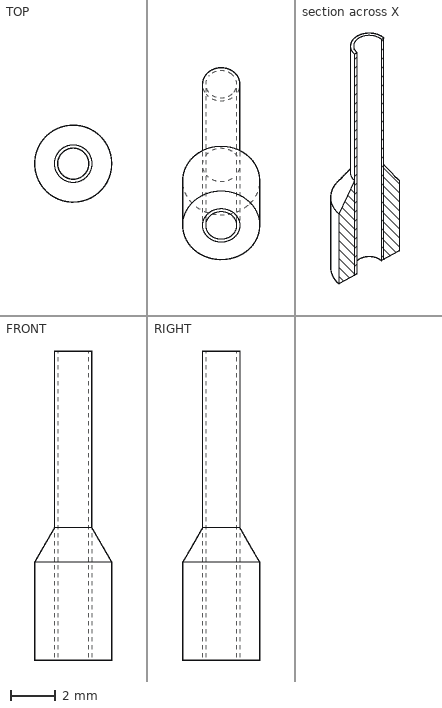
import cadquery as cq
import math

total_length = 14.0
exposed_tube_length = 8.0
tube_outer_diameter = 1.7
tube_bore_diameter = 1.4
sleeve_diameter = 3.5
taper_angle = 30.0

tube_radius = tube_outer_diameter / 2
sleeve_radius = sleeve_diameter / 2
sleeve_length = total_length - exposed_tube_length
taper_length = (sleeve_radius - tube_radius) / math.tan(math.radians(taper_angle))
straight_length = sleeve_length - taper_length


def make_tube():
    """Metal tube running the full length of the ferrule, open at both ends."""
    return (
        cq.Workplane("XY")
        .circle(tube_radius)
        .circle(tube_bore_diameter / 2)
        .extrude(total_length)
    )


def make_sleeve():
    """Insulating sleeve: a straight collar that tapers down to the tube."""
    return (
        cq.Workplane("XZ")
        .moveTo(tube_radius, 0)
        .lineTo(sleeve_radius, 0)
        .lineTo(sleeve_radius, straight_length)
        .lineTo(tube_radius, sleeve_length)
        .close()
        .revolve(360, (0, 0, 0), (0, 1, 0))
    )


tube = make_tube()
sleeve = make_sleeve()

result = cq.Compound.makeCompound([tube.val(), sleeve.val()])